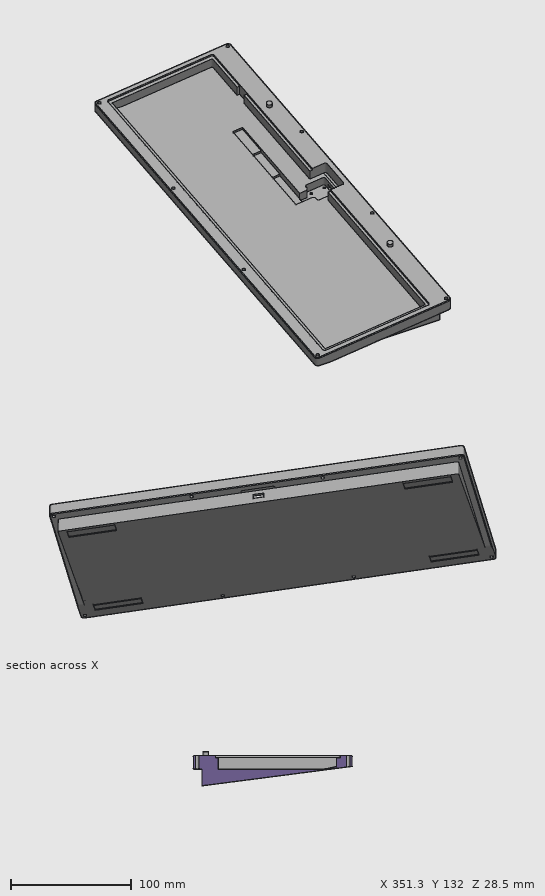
import cadquery as cq
import math

LENGTH = 351.3
WIDTH = 132.0
TOTAL_HEIGHT = 28.5
PEG_HEIGHT = 3.0
CASE_HEIGHT = TOTAL_HEIGHT - PEG_HEIGHT
REAR = WIDTH / 2
FRONT = -WIDTH / 2

RIM_HEIGHT = 11.5
FRONT_HEIGHT = 9.0
RIM_CORNER_RADIUS = 2.8
EDGE_CHAMFER = 0.7
BASE_SIDE_INSET = 6.0
BASE_REAR_INSET = 7.5
BASE_CORNER_RADIUS = 1.8
BASE_REAR = REAR - BASE_REAR_INSET
UNDERSIDE_SLOPE = (CASE_HEIGHT - FRONT_HEIGHT) / (BASE_REAR - FRONT)

LEDGE_DEPTH = 1.8
LEDGE_SIDE_INSET = 4.5
LEDGE_REAR = REAR - 18.5
LEDGE_FRONT = FRONT + 10.2
LEDGE_RADIUS = 1.8
CAVITY_DEPTH = 11.2
CAVITY_SIDE_INSET = 7.7
CAVITY_REAR = REAR - 21
CAVITY_FRONT = FRONT + 13.5
RAMP_REAR = FRONT + 23.0
RAMP_RISE = 2.0
CAVITY_RADIUS = 1.5
NOTCH_LEFT = -129.0
NOTCH_RIGHT = -118.0

BAY_WIDTH = 28.8
BAY_REAR = REAR - 5.3
BAY_RADIUS = 1.8
POCKET_WIDTH = 20.5
POCKET_REAR = REAR - 9.5
POCKET_FRONT = REAR - 28.5
POCKET_DEPTH = 20.0
POCKET_RADIUS = 1.8
NECK_WIDTH = 9.5
NECK_RADIUS = 2.5
CHANNEL_REAR = REAR - 37.0
CHANNEL_FRONT = REAR - 46.5
CHANNEL_STEP_STARTS = (-95, -65.5, -36.0)
CHANNEL_STEP_DEPTH = 2.0
PORT_WIDTH = 9.0
PORT_HEIGHT = 4.2
PORT_FLOOR_GAP = 0.5

RIM_HOLE_DIAMETER = 2.75
RIM_HOLE_INSET = 3.5
RIM_HOLE_INNER_X = 55.5
BOARD_HOLE_DIAMETER = 2.0
BOARD_HOLE_X = 7
BOARD_HOLE_INSETS = (11.5, 24.2)
BOARD_HOLE_DEPTH = 1.5
PEG_DIAMETER = 5.0
PEG_X = 95.2
PEG_REAR_INSET = 10.5
FOOT_LENGTH = 40.5
FOOT_WIDTH = 8.0
FOOT_DEPTH = 1.0
FOOT_X = 142.3
FOOT_REAR_INSET = 14
FOOT_FRONT_INSET = 12.5


def block(left, right, front, rear, bottom, top):
    """Box given by its six faces."""
    size = (right - left, rear - front, top - bottom)
    return cq.Workplane("XY").box(*size, centered=False).translate((left, front, bottom))


def wide_block(width, front, rear, bottom, top):
    """Box centred on X = 0."""
    return block(-width / 2, width / 2, front, rear, bottom, top)


def underside_z(y):
    """Height of the sloping underside at a given Y."""
    return -FRONT_HEIGHT - UNDERSIDE_SLOPE * (y - FRONT)


def make_shell():
    rim = wide_block(LENGTH, FRONT, REAR, -RIM_HEIGHT, 0).edges("|Z").fillet(RIM_CORNER_RADIUS)
    base_length = LENGTH - 2 * BASE_SIDE_INSET
    base = wide_block(base_length, FRONT + RIM_CORNER_RADIUS, BASE_REAR, -CASE_HEIGHT, -EDGE_CHAMFER)
    base = base.edges("|Z and >Y").fillet(BASE_CORNER_RADIUS)
    profile = [
        (FRONT, 0),
        (FRONT, underside_z(FRONT)),
        (REAR, underside_z(REAR)),
        (REAR, 0),
    ]
    side_profile = cq.Workplane("YZ").polyline(profile).close().extrude(LENGTH / 2, both=True)
    rim = rim.intersect(side_profile)
    rim = rim.faces(">Z or <Z").edges().chamfer(EDGE_CHAMFER)
    return rim.union(base.intersect(side_profile))


def make_cavity():
    ledge = wide_block(LENGTH - 2 * LEDGE_SIDE_INSET, LEDGE_FRONT, LEDGE_REAR, -LEDGE_DEPTH, 0)
    ledge = ledge.edges("|Z").fillet(LEDGE_RADIUS)
    cavity_length = LENGTH - 2 * CAVITY_SIDE_INSET
    cavity = wide_block(cavity_length, CAVITY_FRONT, CAVITY_REAR, -CAVITY_DEPTH, 0)
    cavity = cavity.edges("|Z and >Y").fillet(CAVITY_RADIUS)
    ramp_profile = [
        (CAVITY_FRONT, -CAVITY_DEPTH),
        (RAMP_REAR, -CAVITY_DEPTH),
        (CAVITY_FRONT, -CAVITY_DEPTH + RAMP_RISE),
    ]
    ramp = cq.Workplane("YZ").polyline(ramp_profile).close().extrude(cavity_length / 2, both=True)
    notch = block(NOTCH_LEFT, NOTCH_RIGHT, CAVITY_REAR - LEDGE_RADIUS, LEDGE_REAR, -CAVITY_DEPTH, 0)
    return cavity.cut(ramp).union(ledge).union(notch)


def make_board_bay():
    bay = wide_block(BAY_WIDTH, CAVITY_REAR - BAY_RADIUS, BAY_REAR, -CAVITY_DEPTH, 0)
    bay = bay.edges("|Z and >Y").fillet(BAY_RADIUS)
    pocket = wide_block(POCKET_WIDTH, POCKET_FRONT, POCKET_REAR, -POCKET_DEPTH, -CAVITY_DEPTH)
    pocket = pocket.edges("|Z").fillet(POCKET_RADIUS)
    neck = wide_block(NECK_WIDTH, CHANNEL_REAR, POCKET_REAR, -POCKET_DEPTH, -CAVITY_DEPTH)
    neck_corners = cq.selectors.BoxSelector(
        (-NECK_WIDTH, POCKET_FRONT - NECK_RADIUS, -CASE_HEIGHT),
        (NECK_WIDTH, POCKET_FRONT + NECK_RADIUS, 0),
    )
    pocket = pocket.union(neck).edges("|Z").edges(neck_corners).fillet(NECK_RADIUS)
    port_bottom = -POCKET_DEPTH + PORT_FLOOR_GAP
    port = wide_block(PORT_WIDTH, POCKET_REAR - PORT_FLOOR_GAP, REAR, port_bottom, port_bottom + PORT_HEIGHT)
    return bay.union(pocket).union(port)


def make_channel():
    """Each step reaches from its own left end to the neck, deeper towards the neck."""
    channel = cq.Workplane("XY")
    for step, left in enumerate(CHANNEL_STEP_STARTS, start=1):
        bottom = -CAVITY_DEPTH - step * CHANNEL_STEP_DEPTH
        segment = block(left, NECK_WIDTH / 2, CHANNEL_FRONT, CHANNEL_REAR, bottom, -CAVITY_DEPTH)
        channel = channel.add(segment)
    return channel.combine()


def make_rim_holes():
    corner_x = LENGTH / 2 - RIM_HOLE_INSET
    points = [
        (x, y)
        for x in (-corner_x, -RIM_HOLE_INNER_X, RIM_HOLE_INNER_X, corner_x)
        for y in (FRONT + RIM_HOLE_INSET, REAR - RIM_HOLE_INSET)
    ]
    return cq.Workplane("XY").pushPoints(points).circle(RIM_HOLE_DIAMETER / 2).extrude(-CASE_HEIGHT)


def make_board_holes():
    points = [(x, REAR - inset) for x in (-BOARD_HOLE_X, BOARD_HOLE_X) for inset in BOARD_HOLE_INSETS]
    holes = cq.Workplane("XY").workplane(offset=-POCKET_DEPTH).pushPoints(points)
    return holes.circle(BOARD_HOLE_DIAMETER / 2).extrude(-BOARD_HOLE_DEPTH)


def make_pegs():
    points = [(x, REAR - PEG_REAR_INSET) for x in (-PEG_X, PEG_X)]
    pegs = cq.Workplane("XY").workplane(offset=-LEDGE_DEPTH).pushPoints(points)
    return pegs.circle(PEG_DIAMETER / 2).extrude(LEDGE_DEPTH + PEG_HEIGHT)


def make_feet():
    """Shallow foot recesses, square to the sloping underside."""
    tilt = -math.degrees(math.atan(UNDERSIDE_SLOPE))
    feet = cq.Workplane("XY")
    for y in (FRONT + FOOT_FRONT_INSET, REAR - FOOT_REAR_INSET):
        for x in (-FOOT_X, FOOT_X):
            foot = cq.Workplane("XY").box(FOOT_LENGTH, FOOT_WIDTH, 2 * FOOT_DEPTH)
            foot = foot.rotate((0, 0, 0), (1, 0, 0), tilt).translate((x, y, underside_z(y)))
            feet = feet.add(foot)
    return feet.combine()


result = make_shell().union(make_pegs())
for recess in (
    make_cavity(),
    make_board_bay(),
    make_channel(),
    make_rim_holes(),
    make_board_holes(),
    make_feet(),
):
    result = result.cut(recess)